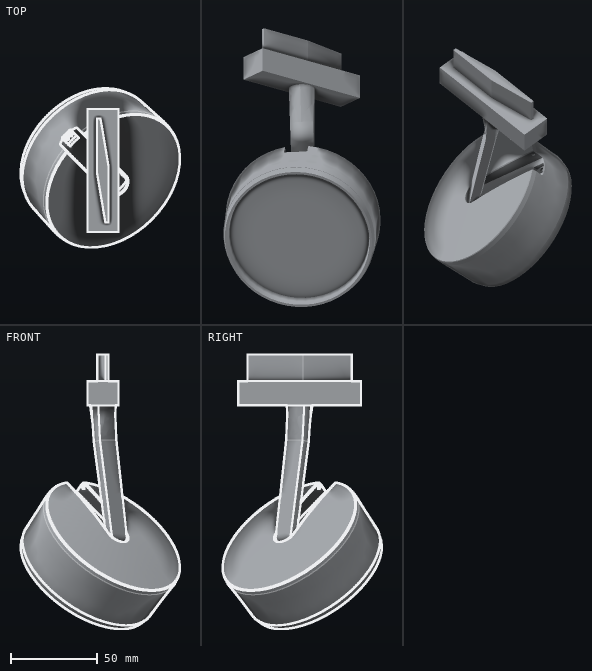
import cadquery as cq
import math

TURN = -45.0

ADAPTER_X = 18.2
ADAPTER_Y = 71.5
ADAPTER_Z = 14.0
KEY_HEIGHT = 15.5
KEY_X = 6.7
KEY_Y = 60.6
KEY_TIP = 1.9
KEY_BEND_Y = 1.9

STEM_TOP_D = 15.0
STEM_TILT = 9.6
NECK_X = 1.8
NECK_Z = -20.7
NECK_DEPTH = 5.3
NECK_WIDTH = 13.5
STEM_LENGTH = 64.6
END_DEPTH = 4.6
END_WIDTH = 12.0
BACK_BULGE = 1.5

HEAD_TILT = 45.0
HEAD_X = -15.2
HEAD_Z = -99.7
RIM_INNER_R = 83.0 / 2
RIM_OUTER_R = 43.0
LENS_R = 81.0 / 2
LENS_HEIGHT = 7.8
RIM_TOP_R = 44.0
RIM_HEIGHT = 4.3
BODY_LOW_R = 44.2
BODY_R = 45.2
BODY_HEIGHT = 30.5
BAND_TOP_R = 44.8
BAND_HEIGHT = 33.4
DOME_R = 44.5
DOME_START = 33.8
DOME_TOP = 37.3

SLOT_WIDTH = 13.7
SLOT_SIDE_HEIGHT = 25.5
SLOT_FLOOR_SAG = 1.3
SLOT_FLOOR_RISE = 9.0
SLOT_EDGE = 0.5
SLOT_END_X = 1.1

POCKET_SIZE = 7.0
POCKET_LIP = 0.8
POCKET_DEPTH = 1.3
CONTACT_D = 2.4
CONTACT_SPACING = 3.0
CONTACT_DEPTH = 1.3

DIMPLE_D = 2.0
DIMPLE_DEPTH = 0.8
DIMPLE_RADIUS = 42.5
DIMPLE_HEIGHT = 31.5


def make_adapter():
    block = cq.Workplane("XY").box(ADAPTER_X, ADAPTER_Y, ADAPTER_Z, centered=(True, True, False))
    side = KEY_X / 2
    end = KEY_Y / 2
    half_outline = [(-side, end), (KEY_TIP - side, end), (side, KEY_BEND_Y)]
    opposite_half = [(-x, -y) for x, y in half_outline]
    key = (
        cq.Workplane("XY", origin=(0, 0, ADAPTER_Z))
        .polyline(half_outline + opposite_half)
        .close()
        .extrude(KEY_HEIGHT)
    )
    return block.union(key)


def stem_section(distance, depth, width):
    """Flat front and sides and a bulged back, square to the stem axis."""
    tilt = math.radians(STEM_TILT)
    axis = cq.Vector(math.sin(tilt), 0, -math.cos(tilt))
    front = cq.Vector(math.cos(tilt), 0, math.sin(tilt))
    centre = cq.Vector(NECK_X, 0, NECK_Z) + axis * distance
    plane = cq.Plane(origin=centre, xDir=front, normal=axis)
    return (
        cq.Workplane(plane)
        .moveTo(-depth / 2, -width / 2)
        .lineTo(depth / 2, -width / 2)
        .lineTo(depth / 2, width / 2)
        .lineTo(-depth / 2, width / 2)
        .threePointArc((-depth / 2 - BACK_BULGE, 0), (-depth / 2, -width / 2))
        .close()
        .val()
    )


def make_stem():
    top = cq.Wire.makeCircle(STEM_TOP_D / 2, cq.Vector(0, 0, 0), cq.Vector(0, 0, -1))
    neck = stem_section(0, NECK_DEPTH, NECK_WIDTH)
    end = stem_section(STEM_LENGTH, END_DEPTH, END_WIDTH)
    flare = cq.Solid.makeLoft([top, neck], False)
    arm = cq.Solid.makeLoft([neck, end], True)
    return cq.Workplane(flare).union(cq.Workplane(arm))


def make_slot():
    """Round-ended slot whose hollow floor rises from the rim towards the head's axis."""
    radius = SLOT_WIDTH / 2
    reach = BODY_R + radius
    height = DOME_TOP * 2
    trough = (
        cq.Workplane("YZ", origin=(-reach, 0, 0))
        .moveTo(-radius, height)
        .lineTo(-radius, SLOT_SIDE_HEIGHT)
        .threePointArc((0, SLOT_SIDE_HEIGHT - SLOT_FLOOR_SAG), (radius, SLOT_SIDE_HEIGHT))
        .lineTo(radius, height)
        .close()
        .extrude(2 * reach)
        .rotate((-BODY_R, 0, SLOT_SIDE_HEIGHT), (-BODY_R, 1, SLOT_SIDE_HEIGHT), -SLOT_FLOOR_RISE)
    )
    plan = (
        cq.Workplane("XY")
        .moveTo(-reach, -radius)
        .lineTo(SLOT_END_X, -radius)
        .threePointArc((SLOT_END_X + radius, 0), (SLOT_END_X, radius))
        .lineTo(-reach, radius)
        .close()
        .extrude(height)
    )
    return trough.intersect(plan)


def make_pocket():
    floor = SLOT_SIDE_HEIGHT - SLOT_FLOOR_SAG - POCKET_DEPTH
    middle = POCKET_LIP - BODY_R + POCKET_SIZE / 2
    recess = (
        cq.Workplane("XY", origin=(middle, 0, floor))
        .box(POCKET_SIZE, POCKET_SIZE, DOME_TOP, centered=(True, True, False))
    )
    contacts = (
        cq.Workplane("XY", origin=(middle, 0, floor - CONTACT_DEPTH))
        .rarray(1.6, CONTACT_SPACING, 1, 2)
        .circle(CONTACT_D / 2)
        .extrude(DOME_TOP)
    )
    return recess.union(contacts)


def make_dimples():
    across = SLOT_WIDTH + 2 * DIMPLE_DEPTH
    return (
        cq.Workplane("XZ", origin=(-DIMPLE_RADIUS, 0, DIMPLE_HEIGHT))
        .circle(DIMPLE_D / 2)
        .extrude(across / 2, both=True)
    )


def make_head():
    mid_r = DOME_R / 2
    dome_rise = DOME_TOP - DOME_START
    sphere_r = (DOME_R**2 + dome_rise**2) / (2 * dome_rise)
    mid_height = DOME_TOP - sphere_r + math.sqrt(sphere_r**2 - mid_r**2)
    body = (
        cq.Workplane("XZ")
        .moveTo(0, LENS_HEIGHT)
        .lineTo(LENS_R, LENS_HEIGHT)
        .lineTo(RIM_INNER_R, 0)
        .lineTo(RIM_OUTER_R, 0)
        .lineTo(RIM_TOP_R, RIM_HEIGHT)
        .lineTo(BODY_LOW_R, RIM_HEIGHT)
        .lineTo(BODY_R, BODY_HEIGHT)
        .lineTo(BAND_TOP_R, BAND_HEIGHT)
        .lineTo(DOME_R, DOME_START)
        .threePointArc((mid_r, mid_height), (0, DOME_TOP))
        .close()
        .revolve(360, (0, 0, 0), (0, 1, 0))
    )
    head = body.cut(make_slot())
    slot_mouth = cq.selectors.BoxSelector(
        (-DOME_R, -SLOT_WIDTH / 2 - SLOT_EDGE, DOME_START + SLOT_EDGE),
        (SLOT_WIDTH, SLOT_WIDTH / 2 + SLOT_EDGE, DOME_TOP),
    )
    head = head.edges(slot_mouth).chamfer(SLOT_EDGE)
    head = head.cut(make_pocket()).cut(make_dimples())
    return head.rotate((0, 0, 0), (0, 1, 0), HEAD_TILT).translate((HEAD_X, 0, HEAD_Z))


lamp = make_stem().union(make_head()).rotate((0, 0, 0), (0, 0, 1), TURN)
result = make_adapter().union(lamp)